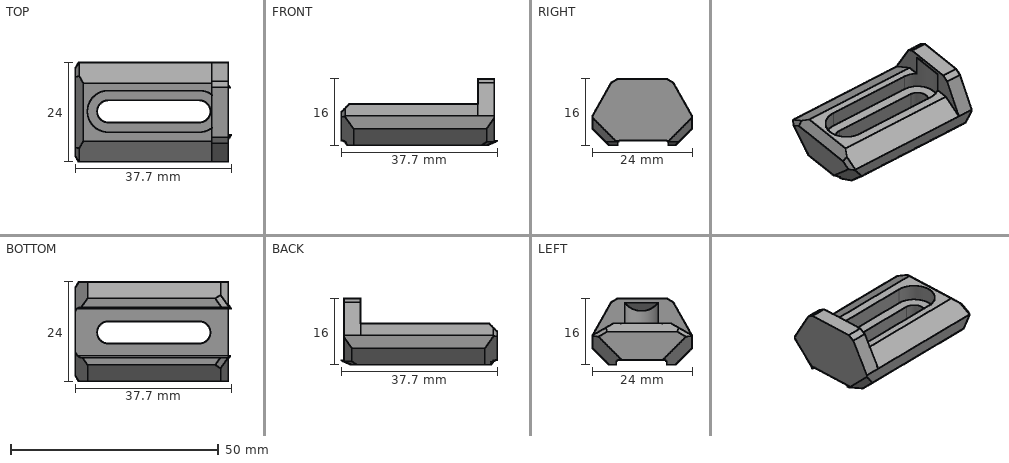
import cadquery as cq
import math

length = 37.7
width = 24.0
half_width = width / 2
height = 16.0
body_height = 10.0

lower_chamfer = 4.0
shoulder_z = 7.12
body_top_half = 6.97
flank_y = half_width - lower_chamfer

end_x = 36.97
stop_start = 32.98
stop_top_half = 6.0
stop_shoulder_half = 7.5
stop_shoulder_z = 15.1

centre_y = 0.2
channel_half = 6.05
channel_depth = 1.15
channel_chamfer = 0.4

slot_start = 8.0
slot_end = 29.95
slot_radius = 2.65
pocket_radius = 5.0
pocket_floor = 6.0
pocket_ceiling = 15.0

top_bevel = 2.0
edge_bevel = top_bevel / 2
corner_bevel = 3.0
toe_bevel_run = 1.3
toe_bevel_rise = 0.83
cutter_size = 4 * length


def mirrored(points):
    """Complete a Y-symmetric outline from its +Y half."""
    return points + [(-y, z) for y, z in reversed(points)]


def extrude_section(points, x_start, x_end):
    return cq.Workplane("YZ", origin=(x_start, 0, 0)).polyline(points).close().extrude(x_end - x_start)


def outside(point, normal):
    """Large block filling the side of a plane that its normal points to."""
    plane = cq.Plane(origin=point, normal=normal)
    return cq.Workplane(plane).rect(cutter_size, cutter_size).extrude(cutter_size)


def full_width_block(x_start, x_end):
    """Block over the whole width and height of the part."""
    block = cq.Workplane("XY").box(x_end - x_start, 2 * half_width, height, centered=(False, True, False))
    return block.translate((x_start, 0, 0))


def slot(radius, z_bottom, z_top):
    centre_distance = slot_end - slot_start
    return (
        cq.Workplane("XY", origin=((slot_start + slot_end) / 2, centre_y, z_bottom))
        .slot2D(centre_distance + 2 * radius, 2 * radius)
        .extrude(z_top - z_bottom)
    )


body_section = mirrored([
    (flank_y, 0),
    (half_width, lower_chamfer),
    (half_width, shoulder_z),
    (body_top_half, body_height),
])
blank_end = length + corner_bevel
body = extrude_section(body_section, 0, blank_end)

stop_section = mirrored([
    (half_width, shoulder_z),
    (stop_shoulder_half, stop_shoulder_z),
    (stop_top_half, height),
])
body = body.union(extrude_section(stop_section, stop_start, end_x))

overhang = full_width_block(end_x, blank_end).translate((0, 0, channel_depth))
body = body.cut(overhang)

channel_top_half = channel_half - channel_chamfer
channel_section = mirrored([
    (channel_half, 0),
    (channel_half, channel_depth - channel_chamfer),
    (channel_top_half, channel_depth),
])
body = body.cut(extrude_section(channel_section, 0, blank_end).translate((0, centre_y, 0)))

near_block = full_width_block(0, top_bevel)
body = body.cut(outside((top_bevel, 0, body_height), (-1, 0, 1)).intersect(near_block))

diagonal = math.sqrt(0.5)
toe_tip_y = channel_top_half - centre_y
far_corner_x = length - (flank_y - toe_tip_y + channel_depth) * diagonal
slope_angle = math.atan2(body_height - shoulder_z, half_width - body_top_half)
toe_rise_ratio = diagonal + toe_bevel_run / toe_bevel_rise

for side in (1, -1):
    near_normal = (-1, side * diagonal, -diagonal)
    far_normal = (1, side * diagonal, -diagonal)
    body = body.cut(outside((corner_bevel, side * flank_y, 0), near_normal))
    body = body.cut(outside((far_corner_x, side * flank_y, 0), far_normal))
    toe_normal = (1, side * diagonal, -toe_rise_ratio)
    body = body.cut(outside((far_corner_x - toe_bevel_run, side * flank_y, 0), toe_normal))
    edge_normal = (-1, side * math.sin(slope_angle), math.cos(slope_angle))
    edge_cutter = outside((edge_bevel, side * half_width, shoulder_z), edge_normal)
    body = body.cut(edge_cutter.intersect(near_block))

pocket = slot(pocket_radius, pocket_floor, height)
pocket = pocket.cut(outside((stop_start, 0, pocket_ceiling), (1, 0, 1)))
body = body.cut(pocket)
result = body.cut(slot(slot_radius, 0, body_height))